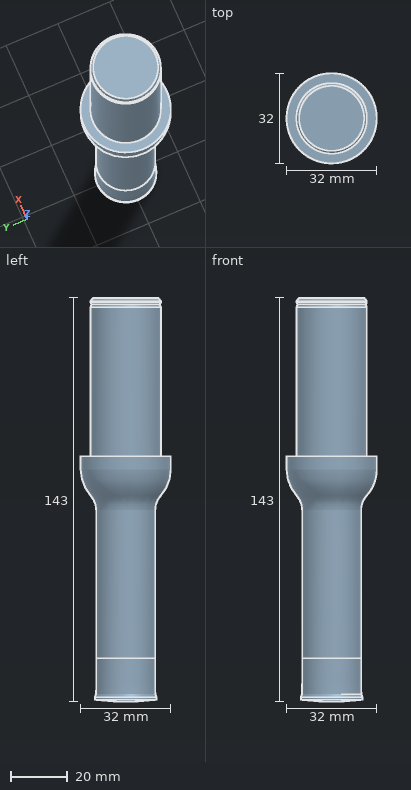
import cadquery as cq
import math

total_length = 143.0
shank_radius = 25.0 / 2
collar_radius = 32.0 / 2
neck_radius = 21.0 / 2

joint_z = 15.5
collar_bottom_z = 82.2
collar_top_z = 87.0

bulge_arc_radius = 13.7
fillet_arc_radius = 7.5

end_chamfer_width = 1.0
end_chamfer_height = 1.1
groove_depth = 0.5
groove_top_z = 141.4
groove_middle_z = 140.7
groove_bottom_z = 139.7

head_flare_start_z = 6.5
head_flare_end_z = 2.7
head_flare_radius = 10.6
rim_radius = 21.9 / 2
rim_top_z = 1.7
rim_bottom_z = 0.7
tip_flat_radius = 3.0


def point_on_arc(center, radius, angle):
    """Point at the given angle (radians) on a circle in the radius-height plane."""
    return (center[0] + radius * math.cos(angle), center[1] + radius * math.sin(angle))


def revolve_about_z(profile):
    """Turn a closed radius-height profile into a solid of revolution about Z."""
    return profile.close().revolve(360, (0, 0, 0), (0, 1, 0))


def make_holder():
    """Shank, collar and neck, down to the flat joint with the head."""
    bulge_center = (collar_radius - bulge_arc_radius, collar_bottom_z)
    fillet_center_radius = neck_radius + fillet_arc_radius
    center_spacing = bulge_arc_radius + fillet_arc_radius
    tangent_angle = -math.acos((fillet_center_radius - bulge_center[0]) / center_spacing)
    fillet_center = (fillet_center_radius, bulge_center[1] + center_spacing * math.sin(tangent_angle))

    bulge_middle = point_on_arc(bulge_center, bulge_arc_radius, tangent_angle / 2)
    tangent_point = point_on_arc(bulge_center, bulge_arc_radius, tangent_angle)
    fillet_middle = point_on_arc(fillet_center, fillet_arc_radius, math.pi + tangent_angle / 2)
    neck_top = (neck_radius, fillet_center[1])

    groove_radius = shank_radius - groove_depth
    profile = (
        cq.Workplane("XZ")
        .moveTo(0, total_length)
        .lineTo(shank_radius - end_chamfer_width, total_length)
        .lineTo(shank_radius, total_length - end_chamfer_height)
        .lineTo(shank_radius, groove_top_z)
        .lineTo(groove_radius, groove_middle_z)
        .lineTo(shank_radius, groove_bottom_z)
        .lineTo(shank_radius, collar_top_z)
        .lineTo(collar_radius, collar_top_z)
        .lineTo(collar_radius, collar_bottom_z)
        .threePointArc(bulge_middle, tangent_point)
        .threePointArc(fillet_middle, neck_top)
        .lineTo(neck_radius, joint_z)
        .lineTo(0, joint_z)
    )
    return revolve_about_z(profile)


def make_head():
    """Head below the joint: slight flare, narrow rim and shallow cone with a flat tip."""
    profile = (
        cq.Workplane("XZ")
        .moveTo(0, joint_z)
        .lineTo(neck_radius, joint_z)
        .lineTo(neck_radius, head_flare_start_z)
        .lineTo(head_flare_radius, head_flare_end_z)
        .lineTo(rim_radius, rim_top_z)
        .lineTo(rim_radius, rim_bottom_z)
        .lineTo(tip_flat_radius, 0)
        .lineTo(0, 0)
    )
    return revolve_about_z(profile)


holder = make_holder()
head = make_head()

result = cq.Compound.makeCompound([holder.val(), head.val()])